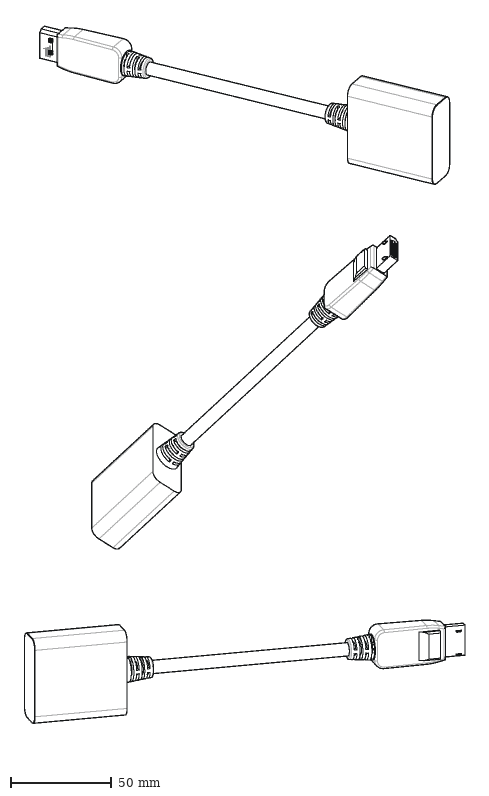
import cadquery as cq
import math

SHELL_LENGTH = 10.9
GRIP_BACK = 48.0
HOUSING_FRONT = 178.2
TOTAL_LENGTH = 226.5

HOUSING_DEPTH = 18.5
HOUSING_HEIGHT = 44.4
HOUSING_EDGE_RADIUS = 4.8
HOUSING_RIM_CHAMFER = 0.2

SHELL_THICKNESS = 5.0
SHELL_HEIGHT = 15.9
SHELL_CORNER_CHAMFER = 1.47
WINDOW_SIZE = 2.0
WINDOW_DEPTH = 0.57
WINDOW_X = 6.1
WINDOW_Z = 3.5

SLOT_THICKNESS = 1.5
SLOT_TOP = 5.2
SLOT_BOTTOM = -6.5
SLOT_DEPTH = 6.8
GROOVE_DEPTH = 8.0
GROOVES_PER_SIDE = 10
GROOVE_WIDTH = 0.57
GROOVE_SPAN = 3.6
GROOVE_PITCH = 1.1

HOOK_FRONT = 2.0
HOOK_CREST = 3.0
HOOK_BACK = 4.8
HOOK_HEIGHT = 1.4
HOOK_WIDTH = 0.5
HOOK_Z = (5.2, -7.0)

GRIP_FRONT_HALF_HEIGHT = 8.8
GRIP_NECK_X = 14.3
GRIP_NECK_HALF_HEIGHT = 9.5
GRIP_FULL_X = 20.8
GRIP_HALF_HEIGHT = 10.2
GRIP_BACK_RADIUS = 4.8
GRIP_FRONT_HALF_THICKNESS = 5.2
GRIP_BACK_HALF_THICKNESS = 6.3
GRIP_EDGE_RADIUS = 1.1

BUTTON_FRONT = GRIP_NECK_X
BUTTON_FLAT_END = 20.4
BUTTON_END = 26.0
BUTTON_TOP = 7.5
BUTTON_HALF_WIDTH = 7.5
BUTTON_CORNER_CHAMFER = 1.0

CABLE_RADIUS = 3.5
RELIEF_TIP_RADIUS = 5.2
RELIEF_TAPER = 0.11
RELIEF_TIP_FILLET = 0.7
PLUG_RELIEF_LENGTH = 12.7
HOUSING_RELIEF_LENGTH = 15.2
RELIEF_SLOTS = 4
RELIEF_FIRST_SLOT = 2.7
RELIEF_SLOT_PITCH = 3.0
RELIEF_SLOT_WIDTH = 1.4
RELIEF_RIB_WIDTH = 2.0


def block(x_range, y_range, z_range):
    """Axis-aligned box between two limits on each axis."""
    (x0, x1), (y0, y1), (z0, z1) = x_range, y_range, z_range
    return cq.Workplane("XY").box(x1 - x0, y1 - y0, z1 - z0, centered=False).translate((x0, y0, z0))


def make_housing():
    """Rounded box with a fine chamfer around its far end."""
    body = (
        cq.Workplane("YZ", origin=(HOUSING_FRONT, 0, 0))
        .rect(HOUSING_DEPTH, HOUSING_HEIGHT)
        .extrude(TOTAL_LENGTH - HOUSING_FRONT)
        .edges("|X")
        .fillet(HOUSING_EDGE_RADIUS)
    )
    return body.faces(">X").chamfer(HOUSING_RIM_CHAMFER)


def mating_slot():
    """Mouth of the plug with a row of contact grooves crossing it."""
    slot = block((0, SLOT_DEPTH), (-SLOT_THICKNESS / 2, SLOT_THICKNESS / 2), (SLOT_BOTTOM, SLOT_TOP))
    middle = (SLOT_TOP + SLOT_BOTTOM) / 2
    for index in range(GROOVES_PER_SIDE):
        z = middle + (index - (GROOVES_PER_SIDE - 1) / 2) * GROOVE_PITCH
        slot = slot.union(
            block(
                (0, GROOVE_DEPTH),
                (-GROOVE_SPAN / 2, GROOVE_SPAN / 2),
                (z - GROOVE_WIDTH / 2, z + GROOVE_WIDTH / 2),
            )
        )
    return slot


def latch_hook(z):
    """Thin hook with a ramped front, standing on the +Y face of the shell."""
    base = SHELL_THICKNESS / 2
    return (
        cq.Workplane("XY", origin=(0, 0, z))
        .polyline(
            [
                (HOOK_FRONT, base),
                (HOOK_CREST, base + HOOK_HEIGHT),
                (HOOK_BACK, base + HOOK_HEIGHT),
                (HOOK_BACK, base),
            ]
        )
        .close()
        .extrude(HOOK_WIDTH / 2, both=True)
    )


def make_shell():
    """Plug shell with one chamfered corner, a mating slot, two windows and two latch hooks."""
    shell = (
        cq.Workplane("YZ")
        .rect(SHELL_THICKNESS, SHELL_HEIGHT)
        .extrude(SHELL_LENGTH)
        .edges("|X and >Z and <Y")
        .chamfer(SHELL_CORNER_CHAMFER)
    )
    shell = shell.cut(mating_slot())
    windows = (
        cq.Workplane("XZ", origin=(WINDOW_X, -SHELL_THICKNESS / 2, 0))
        .pushPoints([(0, WINDOW_Z), (0, -WINDOW_Z)])
        .rect(WINDOW_SIZE, WINDOW_SIZE)
        .extrude(-WINDOW_DEPTH)
    )
    shell = shell.cut(windows)
    for z in HOOK_Z:
        shell = shell.union(latch_hook(z))
    return shell


def grip_outline():
    """Side outline of the grip, left over-thick along Y for the taper to trim."""
    lead = (GRIP_FULL_X - GRIP_NECK_X, GRIP_HALF_HEIGHT - GRIP_NECK_HALF_HEIGHT)
    arc_radius = (lead[0] ** 2 + lead[1] ** 2) / (2 * lead[1])
    bow = math.atan2(lead[1], lead[0])
    arc_middle = (
        GRIP_FULL_X - arc_radius * math.sin(bow),
        GRIP_HALF_HEIGHT - arc_radius * (1 - math.cos(bow)),
    )
    return (
        cq.Workplane("XZ")
        .moveTo(SHELL_LENGTH, -GRIP_FRONT_HALF_HEIGHT)
        .lineTo(SHELL_LENGTH, GRIP_FRONT_HALF_HEIGHT)
        .lineTo(GRIP_NECK_X, GRIP_NECK_HALF_HEIGHT)
        .threePointArc(arc_middle, (GRIP_FULL_X, GRIP_HALF_HEIGHT))
        .lineTo(GRIP_BACK, GRIP_HALF_HEIGHT)
        .lineTo(GRIP_BACK, -GRIP_HALF_HEIGHT)
        .lineTo(GRIP_FULL_X, -GRIP_HALF_HEIGHT)
        .threePointArc((arc_middle[0], -arc_middle[1]), (GRIP_NECK_X, -GRIP_NECK_HALF_HEIGHT))
        .close()
        .extrude(2 * GRIP_BACK_HALF_THICKNESS, both=True)
        .edges("|Y and >X")
        .fillet(GRIP_BACK_RADIUS)
    )


def latch_button():
    """Raised pad that slopes down into the +Y face of the grip."""
    return (
        cq.Workplane("XY")
        .polyline(
            [
                (BUTTON_FRONT, 0),
                (BUTTON_FRONT, BUTTON_TOP),
                (BUTTON_FLAT_END, BUTTON_TOP),
                (BUTTON_END, GRIP_FRONT_HALF_THICKNESS),
                (BUTTON_END, 0),
            ]
        )
        .close()
        .extrude(BUTTON_HALF_WIDTH, both=True)
        .faces(">Y")
        .edges("|X")
        .chamfer(BUTTON_CORNER_CHAMFER)
    )


def make_grip():
    """Grip that thickens towards the cable, with rounded edges around its two large faces."""
    taper = (
        cq.Workplane("XY")
        .polyline(
            [
                (SHELL_LENGTH, -GRIP_FRONT_HALF_THICKNESS),
                (SHELL_LENGTH, GRIP_FRONT_HALF_THICKNESS),
                (GRIP_BACK, GRIP_BACK_HALF_THICKNESS),
                (GRIP_BACK, -GRIP_BACK_HALF_THICKNESS),
            ]
        )
        .close()
        .extrude(2 * GRIP_HALF_HEIGHT, both=True)
    )
    grip = grip_outline().intersect(taper)
    grip = grip.faces(">Y or <Y").edges().fillet(GRIP_EDGE_RADIUS)
    return grip.union(latch_button())


def make_cable():
    """Straight round cable between the grip and the housing."""
    return (
        cq.Workplane("YZ", origin=(GRIP_BACK, 0, 0))
        .circle(CABLE_RADIUS)
        .extrude(HOUSING_FRONT - GRIP_BACK)
    )


def make_relief(length, tip_x, direction):
    """Slotted cone around the cable, its tip at tip_x and its base further along direction."""
    base_radius = RELIEF_TIP_RADIUS + RELIEF_TAPER * length
    relief = (
        cq.Workplane("XY")
        .polyline([(0, 0), (0, RELIEF_TIP_RADIUS), (length, base_radius), (length, 0)])
        .close()
        .revolve(360, (0, 0, 0), (1, 0, 0))
        .faces("<X")
        .edges()
        .fillet(RELIEF_TIP_FILLET)
    )
    for index in range(RELIEF_SLOTS):
        x = RELIEF_FIRST_SLOT + index * RELIEF_SLOT_PITCH
        x_range = (x - RELIEF_SLOT_WIDTH / 2, x + RELIEF_SLOT_WIDTH / 2)
        for side in (-1, 1):
            near, far = sorted((side * RELIEF_RIB_WIDTH / 2, side * base_radius))
            across = (-base_radius, base_radius)
            if index % 2 == 0:
                relief = relief.cut(block(x_range, across, (near, far)))
            else:
                relief = relief.cut(block(x_range, (near, far), across))
    relief = relief.cut(cq.Workplane("YZ").circle(CABLE_RADIUS).extrude(length))
    if direction < 0:
        relief = relief.mirror("YZ")
    return relief.translate((tip_x, 0, 0))


housing = make_housing()
shell = make_shell()
grip = make_grip()
cable = make_cable()
reliefs = [
    make_relief(PLUG_RELIEF_LENGTH, GRIP_BACK + PLUG_RELIEF_LENGTH, -1),
    make_relief(HOUSING_RELIEF_LENGTH, HOUSING_FRONT - HOUSING_RELIEF_LENGTH, 1),
]

result = cq.Compound.makeCompound(
    [housing.val(), shell.val(), grip.val(), cable.val(), *[relief.val() for relief in reliefs]]
)